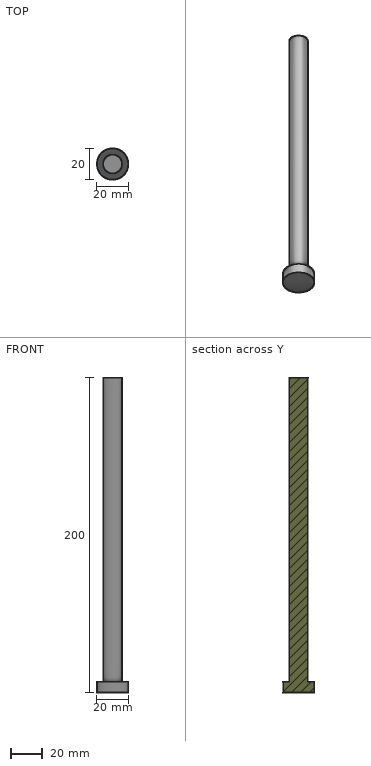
import cadquery as cq

total_length = 200.0
head_diameter = 20.0
head_thickness = 7.0
shaft_diameter = 12.0

head = cq.Workplane("XY").circle(head_diameter / 2).extrude(head_thickness)

shaft_length = total_length - head_thickness
result = head.faces(">Z").workplane().circle(shaft_diameter / 2).extrude(shaft_length)